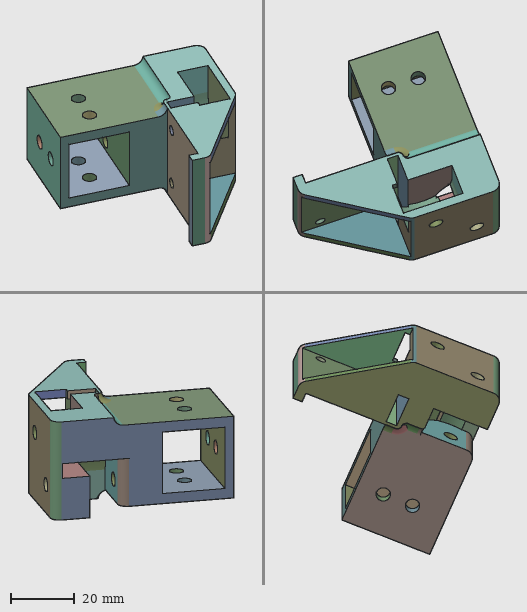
import cadquery as cq

LENGTH = 60.5
DEPTH = 59.0
HEIGHT = 32.5
WALL = 2.7
MID_Z = HEIGHT / 2
ROUND = 3.0

ARM_WIDTH = 30.0
TUBE_WALL = 2.9
TUBE_SIZE = 20.25
BOLT_DIAMETER = 4.5
BOLT_XS = (11.4, 21.35)
BOLT_Y = TUBE_WALL + TUBE_SIZE / 2

PLATE_Y = 36.0
PLATE_THICKNESS = 3.0
PLATE_BACK = PLATE_Y + PLATE_THICKNESS
LIP = 3.1
SLOPE_START_X = 30.1
SLOPE_END_Y = 38.85
MOUNT_DIAMETER = 3.2
MOUNT_PITCH = 19.95
MOUNT_CENTER_X = 43.6

STEP_X = 25.35
STEP_ROUND = 1.5
VALLEY_ROUND = 1.45
STEP_AXIS_X = STEP_X + STEP_ROUND
STEP_AXIS_Y = PLATE_Y + STEP_ROUND

WHEEL_RADIUS = 10.0

LOWER_X = 8.4
LOWER_Z = 9.4
POCKET_FRONT = 37.0
BLOCK_FRONT = 46.9
POCKET_BACK = 55.8
BLOCK_TOP = 13.8
NOTCH_CEILING = 18.65
NOTCH_CEILING_LENGTH = 13.3
POCKET_RIGHT = LOWER_X + WHEEL_RADIUS
POCKET_EDGE_ROUND = 1.0

UPPER_X = 22.1
UPPER_Z = 22.4
UPPER_FRONT = 46.1
UPPER_BACK = 56.3

CHAMBER_X = 30.45
SLOT_WIDTH = 3.55
SLOT_X = CHAMBER_X - SLOT_WIDTH

FORWARD = (0, -1, 0)
LEFTWARD = (-1, 0, 0)


def block(x0, x1, y0, y1, z0, z1):
    """Box between two opposite corners."""
    return cq.Workplane("XY").box(x1 - x0, y1 - y0, z1 - z0, centered=False).translate((x0, y0, z0))


def rod_y(x, z, radius, y0, y1):
    """Cylinder along Y."""
    return cq.Workplane("XZ", origin=(x, y0, z)).circle(radius).extrude(y0 - y1)


def make_body():
    head = (
        cq.Workplane("XY")
        .moveTo(0, PLATE_BACK)
        .lineTo(0, DEPTH)
        .lineTo(SLOPE_START_X, DEPTH)
        .lineTo(LENGTH, SLOPE_END_Y)
        .lineTo(LENGTH, PLATE_Y - LIP)
        .lineTo(LENGTH - LIP, PLATE_Y - LIP)
        .lineTo(LENGTH - LIP, PLATE_Y)
        .lineTo(STEP_X, PLATE_Y)
        .lineTo(STEP_X, PLATE_BACK)
        .close()
        .extrude(HEIGHT)
    )
    outer_corners = ((0, DEPTH), (SLOPE_START_X, DEPTH), (LENGTH, SLOPE_END_Y))
    for x, y in outer_corners:
        head = head.edges(cq.selectors.NearestToPointSelector((x, y, MID_Z))).fillet(ROUND)
    step_edge = cq.selectors.NearestToPointSelector((STEP_X, PLATE_Y, MID_Z))
    head = head.edges(step_edge).fillet(STEP_ROUND)
    inner_edge = cq.selectors.NearestToPointSelector((STEP_X, PLATE_BACK, MID_Z))
    head = head.edges(inner_edge).fillet(VALLEY_ROUND)
    arm = block(0, ARM_WIDTH, 0, PLATE_BACK, WALL, HEIGHT - WALL)
    return head.union(arm)


def cove_profile(plane, wall):
    """Concave corner fillet section, standing off the plane origin by wall."""
    corner = plane.moveTo(wall, 0).lineTo(wall + ROUND, 0)
    diagonal = ROUND * (1 - 0.5 ** 0.5)
    return corner.threePointArc((wall + diagonal, diagonal), (wall, ROUND)).close()


def cove_turn(axis_x, axis_y, radius, floor_z):
    """Cove around a convex corner, swept from the -X direction round to the -Y direction."""
    plane = cq.Plane((axis_x, axis_y, floor_z), (-1, 0, 0), (0, 1, 0))
    return cove_profile(cq.Workplane(plane), radius).revolve(90, (0, 0), (0, 1))


def make_top_cove():
    """Fillet that follows the stepped wall above the arm."""
    floor_z = HEIGHT - WALL
    left = cove_profile(cq.Workplane(cq.Plane((0, PLATE_BACK, floor_z), FORWARD, LEFTWARD)), 0)
    left = left.extrude(-STEP_X)
    right = cove_profile(cq.Workplane(cq.Plane((STEP_AXIS_X, PLATE_Y, floor_z), FORWARD, LEFTWARD)), 0)
    right = right.extrude(STEP_AXIS_X - ARM_WIDTH)
    turn = cove_turn(STEP_AXIS_X, STEP_AXIS_Y, STEP_ROUND, floor_z)
    cove = left.union(turn).union(right)
    return cove.intersect(block(0, ARM_WIDTH, 0, DEPTH, floor_z, HEIGHT))


def make_lower_pocket():
    pocket = rod_y(LOWER_X, LOWER_Z, WHEEL_RADIUS, POCKET_FRONT, POCKET_BACK)
    pocket = pocket.union(block(0, POCKET_RIGHT, POCKET_FRONT, POCKET_BACK, 0, LOWER_Z))
    pocket = pocket.union(block(0, NOTCH_CEILING_LENGTH, POCKET_FRONT, POCKET_BACK, 0, NOTCH_CEILING))
    return pocket.cut(block(-LENGTH, LENGTH, BLOCK_FRONT, DEPTH, -HEIGHT, BLOCK_TOP))


def make_pocket_corner():
    """Rounded corner where the bottom cove turns into the lower pocket."""
    axis_x = POCKET_RIGHT + POCKET_EDGE_ROUND
    axis_y = PLATE_BACK + POCKET_EDGE_ROUND
    post = cq.Workplane("XY").center(axis_x, axis_y).circle(POCKET_EDGE_ROUND).extrude(HEIGHT)
    turn = cove_turn(axis_x, axis_y, POCKET_EDGE_ROUND, HEIGHT - WALL)
    corner = post.union(turn).mirror("XY", (0, 0, MID_Z))
    return corner.intersect(block(POCKET_RIGHT, axis_x, PLATE_Y, axis_y, 0, WALL))


def make_notch_round():
    """Material removed to round the arm's vertical corner at the lower pocket."""
    corner = block(0, ROUND, POCKET_FRONT - ROUND, POCKET_FRONT, 0, NOTCH_CEILING)
    post = cq.Workplane("XY").center(ROUND, POCKET_FRONT - ROUND).circle(ROUND).extrude(HEIGHT)
    return corner.cut(post)


def make_upper_pocket():
    pocket = rod_y(UPPER_X, UPPER_Z, WHEEL_RADIUS, UPPER_FRONT, UPPER_BACK)
    return pocket.union(block(UPPER_X - WHEEL_RADIUS, UPPER_X + WHEEL_RADIUS,
                              UPPER_FRONT, UPPER_BACK, UPPER_Z, HEIGHT))


def make_bolt_holes():
    holes = cq.Workplane("XY")
    for x in BOLT_XS:
        holes = holes.union(rod_y(x, MID_Z, BOLT_DIAMETER / 2, 0, TUBE_WALL))
        holes = holes.union(cq.Workplane("XY").center(x, BOLT_Y).circle(BOLT_DIAMETER / 2).extrude(HEIGHT))
    return holes


def make_mount_holes():
    holes = cq.Workplane("XY")
    for side_x in (-0.5, 0.5):
        for side_z in (-0.5, 0.5):
            x = MOUNT_CENTER_X + side_x * MOUNT_PITCH
            z = MID_Z + side_z * MOUNT_PITCH
            holes = holes.union(rod_y(x, z, MOUNT_DIAMETER / 2, PLATE_Y, PLATE_BACK))
    return holes


top_cove = make_top_cove()
bottom_cove = top_cove.mirror("XY", (0, 0, MID_Z))
tube = block(0, ARM_WIDTH, TUBE_WALL, TUBE_WALL + TUBE_SIZE,
             MID_Z - TUBE_SIZE / 2, MID_Z + TUBE_SIZE / 2)
chamber = block(CHAMBER_X, LENGTH, PLATE_BACK, DEPTH, WALL, HEIGHT - WALL)
slot = block(SLOT_X, CHAMBER_X, POCKET_FRONT, BLOCK_FRONT, 0, HEIGHT)

result = make_body().union(top_cove).union(bottom_cove)
result = result.cut(tube).cut(chamber).cut(slot)
result = result.cut(make_lower_pocket()).cut(make_notch_round()).cut(make_upper_pocket())
pocket_corner_space = block(0, POCKET_RIGHT + POCKET_EDGE_ROUND,
                            PLATE_Y, PLATE_BACK + POCKET_EDGE_ROUND, 0, WALL)
result = result.cut(pocket_corner_space).union(make_pocket_corner())
result = result.cut(make_bolt_holes()).cut(make_mount_holes())

result = result.cut(rod_y(LOWER_X, LOWER_Z, BOLT_DIAMETER / 2, BOLT_Y, DEPTH))
result = result.cut(rod_y(UPPER_X, UPPER_Z, BOLT_DIAMETER / 2, UPPER_BACK, DEPTH))